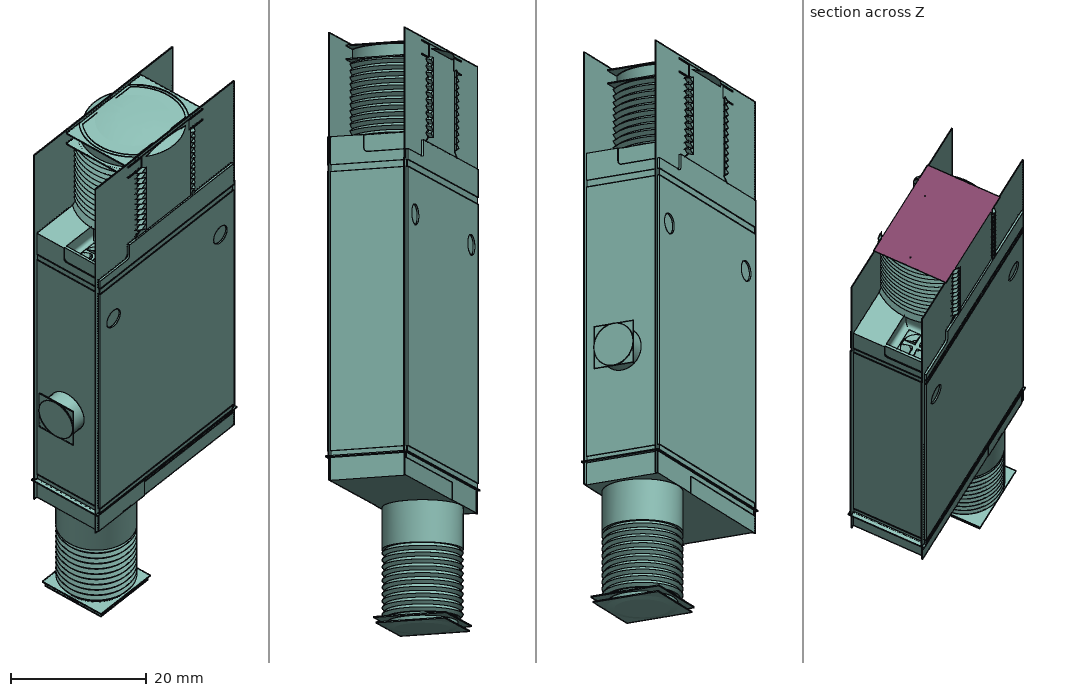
import cadquery as cq
import math


TOTAL_HEIGHT = 85.6
CASE_BOTTOM = 18.15
HOUSING_BOTTOM = 21.6
DECK_TOP = 69.75
PLATE_TOP = 85.3

HOUSING_HALF_WIDTH = 6.3
CAP_HALF_WIDTH = 6.1
CASE_FRONT = -15.3
CASE_BACK = 15.3
HEAD_BOTTOM = 65.7
GROOVE_HEIGHT = 1.0
GROOVE_DEPTH = 0.13
UPPER_GROOVE_BOTTOM = 64.5
PANEL_TOP = 20.8
PANEL_FRONT = -4.8
PANEL_DEPTH = 0.1

PLATE_FRONT = -15.9
PLATE_BACK = 15.8
HOUSING_PLATE_BACK = 16.0
RIM_THICKNESS = 0.2
PLATE_OUTER = 6.0
PLATE_THICKNESS = 0.2

RECESS_RADIUS = 1.5
RECESS_DEPTH = 0.25
RECESS_Y = 12.2
RECESS_Z = 57.85

POCKET_FLOOR = 67.2
POCKET_INNER_Y = 8.6
POCKET_PAST_CENTER = 0.64
POCKET_CORNER_RADIUS = 0.6
COVER_SETBACK = 0.2
COVER_THICKNESS = 0.4
SCREW_X = 3.0
SCREW_Y = 12.2
SCREW_RADIUS = 2.3
SCREW_TOP = 68.5
SCREW_SEAT_SIDE = 5.0
SCREW_SEAT_HEIGHT = 0.5
SCREW_BEVEL_HEIGHT = 0.5
SCREW_BEVEL_WIDTH = 1.4
SCREW_SLOT_WIDTH = 0.8
SCREW_SLOT_DEPTH = 0.5

THREAD_PITCH = 1.0

BARREL_FLAT = CAP_HALF_WIDTH
THREAD_FLAT = 6.6
BARREL_RADIUS = 8.1
BARREL_ROOT_RADIUS = 8.3
BARREL_THREAD_RADIUS = 9.0
BARREL_THREAD_BOTTOM = 70.7
BARREL_THREAD_TOP = 82.75
COLLAR_RADIUS = 9.2

FLANGE_HALF_LENGTH = 8.6
FLANGE_THICKNESS = 0.2
FLANGE_TOP = 84.8
LENS_DIAMETER = 15.15
LENS_RADIUS = LENS_DIAMETER / 2
LENS_EDGE = 84.2
LENS_RING_INNER_RADIUS = 7.6
LENS_RING_INNER_FLAT = 5.3
LENS_RING_OUTER_FLAT = 5.8
LENS_RING_DEPTH = 0.1

BUTTON_Z = 38.3
BUTTON_RADIUS = 3.25
BUTTON_LENGTH = 2.65
BUTTON_FLANGE_THICKNESS = 0.2
BUTTON_FLANGE_SETBACK = 0.1

CONNECTOR_Y = -8.65
CONNECTOR_RADIUS = 6.0
CONNECTOR_ROOT_RADIUS = 5.6
CONNECTOR_THREAD_TOP = 11.8
CONNECTOR_THREAD_BOTTOM = 1.5
TIP_RADIUS = 5.2
TIP_END_RADIUS = 4.1
TIP_CHAMFER_HEIGHT = 0.2
CONNECTOR_FLANGES = ((11.3, 0.9), (10.8, 0.2))


def block(x_range, y_range, z_range):
    """Axis-aligned box given by its limits along each axis."""
    lows, highs = zip(x_range, y_range, z_range)
    sizes = [high - low for low, high in zip(lows, highs)]
    return cq.Workplane("XY").box(*sizes, centered=False).translate(lows)


def wide_block(half_width, y_range, z_range):
    """Box centred on X = 0."""
    return block((-half_width, half_width), y_range, z_range)


def cylinder(radius, z_range):
    low, high = z_range
    return cq.Workplane("XY").workplane(offset=low).circle(radius).extrude(high - low)


def flatted_cylinder(radius, flat, z_range):
    """Vertical cylinder with two flats at X = +/-flat."""
    return cylinder(radius, z_range).intersect(wide_block(flat, (-radius, radius), z_range))


def threaded_rod(root_radius, crest_radius, z_range):
    """Rod with evenly spaced pointed thread ridges."""
    low, high = z_range
    turns = round((high - low) / THREAD_PITCH)
    pitch = (high - low) / turns
    profile = [(0, low), (root_radius, low)]
    for turn in range(turns):
        profile.append((crest_radius, low + (turn + 0.5) * pitch))
        profile.append((root_radius, low + (turn + 1) * pitch))
    profile.append((0, high))
    return cq.Workplane("XZ").polyline(profile).close().revolve(360, (0, 0, 0), (0, 1, 0))


def make_case():
    case_y = (CASE_FRONT, CASE_BACK)
    case = wide_block(HOUSING_HALF_WIDTH, case_y, (HOUSING_BOTTOM, DECK_TOP))
    case = case.union(wide_block(CAP_HALF_WIDTH, case_y, (CASE_BOTTOM, HOUSING_BOTTOM)))

    for bottom in (HOUSING_BOTTOM, UPPER_GROOVE_BOTTOM):
        groove_z = (bottom, bottom + GROOVE_HEIGHT)
        outside = wide_block(2 * HOUSING_HALF_WIDTH, (2 * CASE_FRONT, 2 * CASE_BACK), groove_z)
        core_y = (CASE_FRONT + GROOVE_DEPTH, CASE_BACK - GROOVE_DEPTH)
        core = wide_block(HOUSING_HALF_WIDTH - GROOVE_DEPTH, core_y, groove_z)
        case = case.cut(outside.cut(core))

    for side in (-1, 1):
        panel_x = sorted((side * (CAP_HALF_WIDTH - PANEL_DEPTH), side * HOUSING_HALF_WIDTH))
        case = case.cut(block(panel_x, (PANEL_FRONT, CASE_BACK), (CASE_BOTTOM, PANEL_TOP)))

    recess_span = HOUSING_HALF_WIDTH - RECESS_DEPTH
    for start in (-HOUSING_HALF_WIDTH, recess_span):
        recesses = (
            cq.Workplane("YZ")
            .workplane(offset=start)
            .pushPoints([(-RECESS_Y, RECESS_Z), (RECESS_Y, RECESS_Z)])
            .circle(RECESS_RADIUS)
            .extrude(RECESS_DEPTH)
        )
        case = case.cut(recesses)
    return case


def make_pocket():
    """Material removed for the pocket at the front, on the +X side."""
    pocket = block(
        (-POCKET_PAST_CENTER, 2 * HOUSING_HALF_WIDTH),
        (2 * CASE_FRONT, -POCKET_INNER_Y),
        (POCKET_FLOOR, 2 * DECK_TOP - POCKET_FLOOR),
    )
    return pocket.edges("<Z and (<X or >Y)").fillet(POCKET_CORNER_RADIUS)


def make_pocket_contents():
    """Cover wall and cross-slotted screw of the front pocket."""
    cover_front = CASE_FRONT + COVER_SETBACK
    contents = block(
        (-POCKET_PAST_CENTER, PLATE_OUTER),
        (cover_front, cover_front + COVER_THICKNESS),
        (POCKET_FLOOR, DECK_TOP),
    )
    seat = cq.Workplane("XY").rect(SCREW_SEAT_SIDE, SCREW_SEAT_SIDE).extrude(SCREW_SEAT_HEIGHT)
    head = cylinder(SCREW_RADIUS, (POCKET_FLOOR, SCREW_TOP))
    head = head.faces(">Z").chamfer(SCREW_BEVEL_HEIGHT, SCREW_BEVEL_WIDTH)
    screw = seat.translate((0, 0, POCKET_FLOOR)).union(head)
    slot_length = 2 * SCREW_RADIUS
    for length, width in ((slot_length, SCREW_SLOT_WIDTH), (SCREW_SLOT_WIDTH, slot_length)):
        slot = cq.Workplane("XY").rect(length, width).extrude(SCREW_SLOT_DEPTH)
        screw = screw.cut(slot.translate((0, 0, SCREW_TOP - SCREW_SLOT_DEPTH)))
    return contents.union(screw.translate((SCREW_X, -SCREW_Y, 0)))


def make_plates_and_rim():
    plates = cq.Workplane("XY")
    for inner in (-PLATE_OUTER, PLATE_OUTER - PLATE_THICKNESS):
        plate_x = (inner, inner + PLATE_THICKNESS)
        plates = plates.add(block(plate_x, (PLATE_FRONT, PLATE_BACK), (CASE_BOTTOM, PLATE_TOP)))
        plates = plates.add(block(plate_x, (PLATE_FRONT, HOUSING_PLATE_BACK), (HOUSING_BOTTOM, HEAD_BOTTOM)))
    rim_z = (HOUSING_BOTTOM, HOUSING_BOTTOM + RIM_THICKNESS)
    return plates.add(wide_block(HOUSING_HALF_WIDTH, (PLATE_FRONT, HOUSING_PLATE_BACK), rim_z)).combine()


def make_barrel():
    collar = (
        cq.Workplane("XZ")
        .polyline([
            (0, DECK_TOP),
            (COLLAR_RADIUS, DECK_TOP),
            (BARREL_ROOT_RADIUS, BARREL_THREAD_BOTTOM),
            (0, BARREL_THREAD_BOTTOM),
        ])
        .close()
        .revolve(360, (0, 0, 0), (0, 1, 0))
    )
    smooth = flatted_cylinder(BARREL_RADIUS, BARREL_FLAT, (BARREL_THREAD_TOP, FLANGE_TOP))
    thread_z = (BARREL_THREAD_BOTTOM, BARREL_THREAD_TOP)
    thread = threaded_rod(BARREL_ROOT_RADIUS, BARREL_THREAD_RADIUS, thread_z)

    thread_y = (-BARREL_THREAD_RADIUS, BARREL_THREAD_RADIUS)
    thread = thread.intersect(wide_block(THREAD_FLAT, thread_y, thread_z))
    core_side = cylinder(BARREL_ROOT_RADIUS, thread_z).cut(wide_block(BARREL_FLAT, thread_y, thread_z))
    thread = thread.cut(core_side)
    collar = collar.intersect(wide_block(BARREL_FLAT, (CASE_FRONT, CASE_BACK), (DECK_TOP, TOTAL_HEIGHT)))
    return collar.union(thread).union(smooth)


def make_flanges():
    flange_y = (-FLANGE_HALF_LENGTH, FLANGE_HALF_LENGTH)
    flanges = cq.Workplane("XY")
    for top in (BARREL_THREAD_TOP, FLANGE_TOP):
        flanges = flanges.add(wide_block(BARREL_FLAT, flange_y, (top - FLANGE_THICKNESS, top)))
    return flanges.combine()


def make_lens_ring():
    """Shallow groove around the lens in the top flange."""
    ring_z = (FLANGE_TOP - LENS_RING_DEPTH, TOTAL_HEIGHT)
    ring = flatted_cylinder(BARREL_RADIUS, LENS_RING_OUTER_FLAT, ring_z)
    return ring.cut(flatted_cylinder(LENS_RING_INNER_RADIUS, LENS_RING_INNER_FLAT, ring_z))


def make_lens():
    """Spherical cap with a flat underside."""
    rise = TOTAL_HEIGHT - LENS_EDGE
    sphere_radius = (LENS_RADIUS**2 + rise**2) / (2 * rise)
    middle_radius = LENS_RADIUS / 2
    middle_drop = sphere_radius - math.sqrt(sphere_radius**2 - middle_radius**2)
    return (
        cq.Workplane("XZ")
        .moveTo(0, LENS_EDGE)
        .lineTo(LENS_RADIUS, LENS_EDGE)
        .threePointArc((middle_radius, TOTAL_HEIGHT - middle_drop), (0, TOTAL_HEIGHT))
        .close()
        .revolve(360, (0, 0, 0), (0, 1, 0))
    )


def make_button():
    """Round button with a thin square flange just behind its face."""
    button = cq.Workplane("XZ", origin=(0, CASE_FRONT, BUTTON_Z)).circle(BUTTON_RADIUS).extrude(BUTTON_LENGTH)
    flange_front = CASE_FRONT - BUTTON_LENGTH + BUTTON_FLANGE_SETBACK
    flange = wide_block(
        BUTTON_RADIUS,
        (flange_front, flange_front + BUTTON_FLANGE_THICKNESS),
        (BUTTON_Z - BUTTON_RADIUS, BUTTON_Z + BUTTON_RADIUS),
    )
    return button.union(flange)


def make_connector():
    shank = cylinder(CONNECTOR_RADIUS, (CONNECTOR_THREAD_TOP, CASE_BOTTOM))
    thread_z = (CONNECTOR_THREAD_BOTTOM, CONNECTOR_THREAD_TOP)
    thread = threaded_rod(CONNECTOR_ROOT_RADIUS, CONNECTOR_RADIUS, thread_z)
    tip = (
        cq.Workplane("XZ")
        .polyline([
            (0, 0),
            (TIP_END_RADIUS, 0),
            (TIP_RADIUS, TIP_CHAMFER_HEIGHT),
            (TIP_RADIUS, CONNECTOR_THREAD_BOTTOM),
            (0, CONNECTOR_THREAD_BOTTOM),
        ])
        .close()
        .revolve(360, (0, 0, 0), (0, 1, 0))
    )
    connector = shank.union(thread).union(tip)
    for side, bottom in CONNECTOR_FLANGES:
        flange = cq.Workplane("XY").rect(side, side).extrude(FLANGE_THICKNESS)
        connector = connector.union(flange.translate((0, 0, bottom)))
    return connector.translate((0, CONNECTOR_Y, 0))


result = make_case()

for turn in (0, 180):
    result = result.cut(make_pocket().rotate((0, 0, 0), (0, 0, 1), turn))
    result = result.union(make_pocket_contents().rotate((0, 0, 0), (0, 0, 1), turn))

result = result.union(make_plates_and_rim())
result = result.union(make_barrel())
result = result.union(make_flanges())
result = result.cut(make_lens_ring())
result = result.union(make_lens())
result = result.union(make_button())
result = result.union(make_connector())